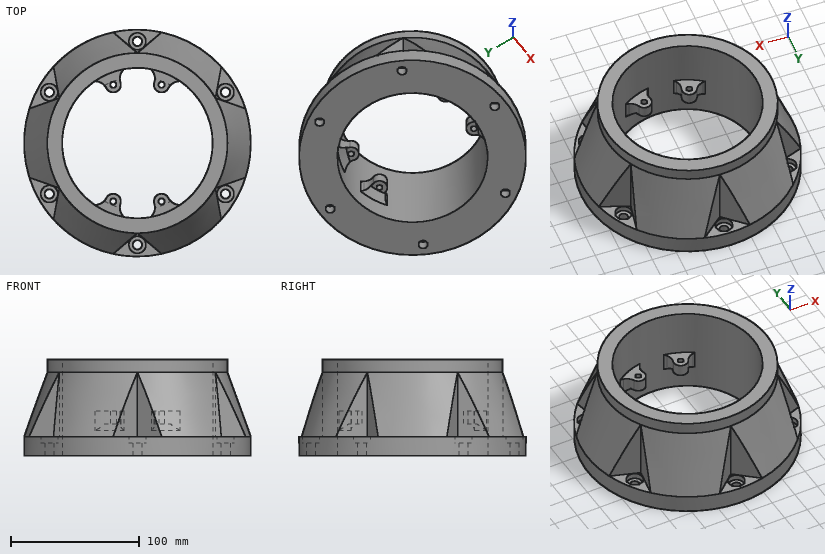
import cadquery as cq
import math

base_diameter = 176.4
collar_diameter = 140.0
bore_diameter = 116.8
total_height = 75.0
base_height = 15.0
collar_height = 10.0
collar_bottom = total_height - collar_height

bolt_count = 6
first_bolt_angle = 90.0
bolt_circle_diameter = 158.0
bolt_hole_diameter = 7.0
counterbore_diameter = 13.2
counterbore_depth = 5.0
notch_mouth_width = 37.7

ear_offset_angle = 22.5
ear_circle_radius = 49.0
ear_tip_radius = 6.0
ear_flare_radius = 9.5
ear_root_flat = 2.3
ear_root_half_angle = 12.0
ear_hole_diameter = 4.5
ear_top = 35.0
ear_tip_thickness = 10.0
ear_root_thickness = 15.0
ear_slope_length = 6.5

base_radius = base_diameter / 2
collar_radius = collar_diameter / 2
bore_radius = bore_diameter / 2
ear_angles = [side + turn for side in (90, 270) for turn in (-ear_offset_angle, ear_offset_angle)]


def make_body():
    """Cylindrical base, conical middle and cylindrical collar around an axial bore."""
    profile = [
        (bore_radius, 0),
        (base_radius, 0),
        (base_radius, base_height),
        (collar_radius, collar_bottom),
        (collar_radius, total_height),
        (bore_radius, total_height),
    ]
    return cq.Workplane("XZ").polyline(profile).close().revolve(360, (0, 0, 0), (0, 1, 0))


def make_notch():
    """Vertical wedge on the +X side, its edge at the collar radius and its mouth on the base rim."""
    half_mouth = notch_mouth_width / 2
    mouth_x = math.sqrt(base_radius**2 - half_mouth**2)
    overshoot = 1.5
    end_x = collar_radius + overshoot * (mouth_x - collar_radius)
    end_y = overshoot * half_mouth
    return (
        cq.Workplane("XY", origin=(0, 0, base_height))
        .polyline([(collar_radius, 0), (end_x, -end_y), (end_x, end_y)])
        .close()
        .extrude(collar_bottom - base_height)
    )


def make_bolt_hole():
    """Counterbored through hole on the +X side."""
    bolt_x = bolt_circle_diameter / 2
    hole = cq.Workplane("XY").center(bolt_x, 0).circle(bolt_hole_diameter / 2).extrude(base_height)
    counterbore = (
        cq.Workplane("XY", origin=(bolt_x, 0, base_height - counterbore_depth))
        .circle(counterbore_diameter / 2)
        .extrude(counterbore_depth)
    )
    return hole.union(counterbore)


def make_ear_envelope(back_radius):
    """Ring that gives the ear its thickness: flat under the tip, sloping down to the bore wall."""
    front_radius = ear_circle_radius - 2 * ear_tip_radius
    tip_bottom = ear_top - ear_tip_thickness
    root_bottom = ear_top - ear_root_thickness
    profile = [
        (front_radius, ear_top),
        (front_radius, tip_bottom),
        (bore_radius - ear_slope_length, tip_bottom),
        (bore_radius, root_bottom),
        (back_radius, root_bottom),
        (back_radius, ear_top),
    ]
    return cq.Workplane("XZ").polyline(profile).close().revolve(360, (0, 0, 0), (0, 1, 0))


def make_ear():
    """Ear on the +X side: a round tip, then concave flares and short flats out to the bore wall."""
    root_angle = math.radians(ear_root_half_angle)
    root_x = bore_radius * math.cos(root_angle)
    root_y = bore_radius * math.sin(root_angle)

    dx = root_x - ear_circle_radius
    root_distance = math.hypot(dx, root_y)
    center_distance = ear_tip_radius + ear_flare_radius
    corner_distance = math.hypot(ear_flare_radius, ear_root_flat)
    cosine = (root_distance**2 + center_distance**2 - corner_distance**2) / (
        2 * root_distance * center_distance
    )
    center_angle = math.atan2(root_y, dx) + math.acos(cosine)
    flare_x = ear_circle_radius + center_distance * math.cos(center_angle)
    flare_y = center_distance * math.sin(center_angle)

    def flare_point(direction):
        """Point of the flare circle in the given direction from its centre."""
        return (
            flare_x + ear_flare_radius * math.cos(direction),
            flare_y + ear_flare_radius * math.sin(direction),
        )

    corner_direction = math.atan2(root_y - flare_y, root_x - flare_x)
    flat_direction = corner_direction - math.atan2(ear_root_flat, ear_flare_radius)
    touch_direction = center_angle - math.pi
    flat_x, flat_y = flare_point(flat_direction)
    middle_x, middle_y = flare_point((flat_direction + touch_direction) / 2)
    touch_x, touch_y = flare_point(touch_direction)

    back_x = (bore_radius + collar_radius) / 2
    prism = (
        cq.Workplane("XY", origin=(0, 0, ear_top))
        .moveTo(back_x, root_y)
        .lineTo(root_x, root_y)
        .lineTo(flat_x, flat_y)
        .threePointArc((middle_x, middle_y), (touch_x, touch_y))
        .threePointArc((ear_circle_radius - ear_tip_radius, 0), (touch_x, -touch_y))
        .threePointArc((middle_x, -middle_y), (flat_x, -flat_y))
        .lineTo(root_x, -root_y)
        .lineTo(back_x, -root_y)
        .close()
        .extrude(-ear_root_thickness)
    )
    return prism.intersect(make_ear_envelope(back_x))


def make_ear_hole():
    """Through hole in the ear on the +X side."""
    return (
        cq.Workplane("XY", origin=(ear_circle_radius, 0, ear_top))
        .circle(ear_hole_diameter / 2)
        .extrude(-ear_root_thickness)
    )


def turned(shape, angle):
    """Rotate a shape about the Z axis."""
    return shape.rotate((0, 0, 0), (0, 0, 1), angle)


result = make_body()
for index in range(bolt_count):
    bolt_angle = first_bolt_angle + index * 360 / bolt_count
    result = result.cut(turned(make_notch(), bolt_angle))
    result = result.cut(turned(make_bolt_hole(), bolt_angle))
for ear_angle in ear_angles:
    result = result.union(turned(make_ear(), ear_angle))
    result = result.cut(turned(make_ear_hole(), ear_angle))